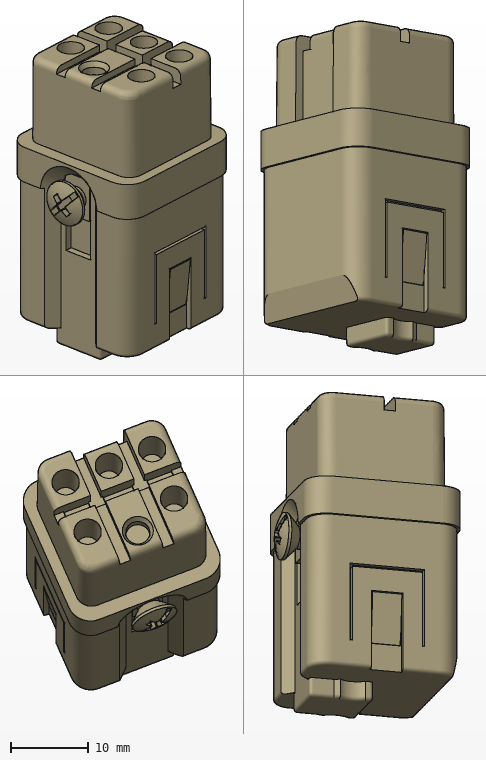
import cadquery as cq
import math

total_height = 40.2
body_bottom = 2.55
collar_bottom = 22.95
collar_top = 28.0

collar_width = 21.0
collar_radius = 3.0
body_width = 20.22
body_radius = 2.75
body_edge_fillet = 0.52
head_width = 18.0
head_front_y = -8.55
head_back_y = 8.65
head_radius = 2.1
head_edge_fillet = 0.95
head_draft = 0.12

slot_outer_x = 3.78
slot_inner_x = 2.3
front_slot_depth = 0.95
rear_slot_depth = 2.05
cross_slot_front = -0.05
cross_slot_back = 1.45
rear_recess_y = 7.4
pit_depth = 0.4
outer_pit_width = 3.45
centre_pit_width = 4.1
outer_pit_x = 5.83

contact_x = 6.07
rear_contact_y = 4.4
front_contact_y = -3.1
contact_mouth_radius = 1.75
contact_floor_radius = 1.53
contact_depth = 5.63
earth_y = -5.45
earth_mouth_radius = 2.0
earth_radius = 1.55
earth_countersink_depth = 0.7
earth_depth = 1.75

screw_z = 22.67
channel_floor_y = -8.6
channel_floor_half = 2.97
pocket_width = 4.2
pocket_depth = 1.0
pocket_bottom = 14.15
plate_bottom = 19.8
plate_top = 25.73
plate_height = 0.2

screw_tip_y = -12.05
screw_rim_front_y = -11.25
screw_rim_back_y = -10.85
screw_radius = 3.1
screw_shank_radius = 1.53
drive_angle = 45
drive_length = 3.15
drive_width = 0.9
drive_core = 1.13
drive_depth = 0.95
driver_slot_width = 0.8
driver_slot_depth = 0.72

latch_bottom = 6.1
latch_top = 16.52
latch_width = 10.05
latch_side_gap = 0.3
latch_top_gap = 0.4
latch_depth = 0.8
window_width = 4.25
window_top = 13.05
window_gap = 0.15
wedge_lower_height = 0.12

bevel_top = 6.1
bevel_inset = 1.05

foot_half_width = 4.22
foot_front_half_width = 3.9
foot_back_y = -0.15
foot_corner = 0.4
foot_edge_fillet = 0.5
foot_step_front_y = -5.4
foot_step_back_y = -4.6
scallop_back_y = -1.25
scallop_depth = 0.6


def block(x_min, x_max, y_min, y_max, z_min, z_max):
    """Axis-aligned box given by its limits."""
    size = (x_max - x_min, y_max - y_min, z_max - z_min)
    return cq.Workplane("XY").box(*size, centered=False).translate((x_min, y_min, z_min))


def revolve_about_y(profile):
    """Revolve a closed (radius, y) outline about the screw axis."""
    turned = cq.Workplane("XY").polyline(profile).close().revolve(360, (0, 0), (0, 1))
    return turned.translate((0, 0, screw_z))


def make_collar():
    height = collar_top - collar_bottom
    plate = cq.Workplane("XY", origin=(0, 0, collar_bottom)).rect(collar_width, collar_width)
    return plate.extrude(height).edges("|Z").fillet(collar_radius)


def make_body():
    body = cq.Workplane("XY", origin=(0, 0, body_bottom)).rect(body_width, body_width)
    body = body.extrude(collar_bottom - body_bottom).edges("|Z").fillet(body_radius)
    body = body.faces("<Z").edges().fillet(body_edge_fillet)
    back = body_width / 2
    bevel = (
        cq.Workplane("YZ")
        .polyline([(back, bevel_top), (back - bevel_inset, body_bottom), (back, body_bottom)])
        .close()
        .extrude(body_width / 2, both=True)
    )
    return body.cut(bevel)


def tapered_hole(x, y, mouth_radius, floor_radius, depth):
    floor = cq.Workplane("XY", origin=(x, y, total_height - depth)).circle(floor_radius)
    return floor.workplane(offset=depth).circle(mouth_radius).loft()


def head_outline(inset):
    """Rounded outline of the head; the front side stays in place as the others move in."""
    back_y = head_back_y - inset
    outline = cq.Sketch().rect(head_width - 2 * inset, back_y - head_front_y)
    outline = outline.vertices().fillet(head_radius - inset)
    return outline.moved(cq.Location(cq.Vector(0, (back_y + head_front_y) / 2, 0)))


def make_head():
    height = total_height - collar_top
    outlines = [head_outline(0), head_outline(head_draft).moved(cq.Location(cq.Vector(0, 0, height)))]
    head = cq.Workplane("XY", origin=(0, 0, collar_top)).placeSketch(*outlines).loft()
    head = head.faces(">Z").edges().fillet(head_edge_fillet)

    recess = block(-slot_outer_x, slot_outer_x, 0, head_back_y, collar_top, total_height)
    column = block(-slot_outer_x, slot_outer_x, 0, rear_recess_y, collar_top, total_height)
    column = column.edges(">Y and >Z").fillet(head_edge_fillet)
    return head.cut(recess.cut(column))


def cut_contact_face(part):
    rear_floor = total_height - rear_slot_depth
    front_floor = total_height - front_slot_depth
    reach = head_width / 2
    for x_min in (-slot_outer_x, slot_inner_x):
        x_max = x_min + slot_outer_x - slot_inner_x
        part = part.cut(block(x_min, x_max, -reach, cross_slot_front, front_floor, total_height))
        part = part.cut(block(x_min, x_max, cross_slot_front, reach, rear_floor, total_height))
    part = part.cut(block(-reach, reach, cross_slot_front, cross_slot_back, rear_floor, total_height))

    pits = ((-outer_pit_x, outer_pit_width), (0, centre_pit_width), (outer_pit_x, outer_pit_width))
    for x, width in pits:
        left = x - width / 2
        pit_floor = rear_floor - pit_depth
        pit = block(left, left + width, cross_slot_front, cross_slot_back, pit_floor, rear_floor)
        part = part.cut(pit)

    contacts = [(x, rear_contact_y) for x in (-contact_x, 0, contact_x)]
    contacts += [(x, front_contact_y) for x in (-contact_x, contact_x)]
    for x, y in contacts:
        part = part.cut(tapered_hole(x, y, contact_mouth_radius, contact_floor_radius, contact_depth))

    part = part.cut(tapered_hole(0, earth_y, earth_mouth_radius, earth_radius, earth_countersink_depth))
    return part.cut(tapered_hole(0, earth_y, earth_radius, earth_radius, earth_depth))


def cut_channel(part):
    front_y = -collar_width / 2
    front_half = channel_floor_half + channel_floor_y - front_y
    channel = (
        cq.Workplane("XY")
        .polyline(
            [
                (-channel_floor_half, channel_floor_y),
                (channel_floor_half, channel_floor_y),
                (front_half, front_y),
                (-front_half, front_y),
            ]
        )
        .close()
        .extrude(screw_z)
    )
    seat = revolve_about_y(
        [(0, channel_floor_y), (channel_floor_half, channel_floor_y), (front_half, front_y), (0, front_y)]
    )
    half = pocket_width / 2
    pocket = block(-half, half, channel_floor_y, channel_floor_y + pocket_depth, pocket_bottom, plate_bottom)
    plate = block(-half, half, channel_floor_y - plate_height, channel_floor_y, plate_bottom, plate_top)
    return part.cut(channel).cut(seat).cut(pocket).union(plate)


def make_screw():
    shoulder_y = screw_rim_back_y + screw_radius - screw_shank_radius
    dome_rise = screw_rim_front_y - screw_tip_y
    dome_radius = (screw_radius**2 + dome_rise**2) / (2 * dome_rise)
    half_angle = math.asin(screw_radius / dome_radius) / 2
    dome_middle = (
        dome_radius * math.sin(half_angle),
        screw_tip_y + dome_radius * (1 - math.cos(half_angle)),
    )
    screw = (
        cq.Workplane("XY")
        .moveTo(0, channel_floor_y)
        .lineTo(screw_shank_radius, channel_floor_y)
        .lineTo(screw_shank_radius, shoulder_y)
        .lineTo(screw_radius, screw_rim_back_y)
        .lineTo(screw_radius, screw_rim_front_y)
        .threePointArc(dome_middle, (0, screw_tip_y))
        .close()
        .revolve(360, (0, 0), (0, 1))
        .translate((0, 0, screw_z))
    )

    cuts = (
        (drive_length, drive_width, drive_depth),
        (drive_width, drive_length, drive_depth),
        (drive_core, drive_core, drive_depth),
        (2 * screw_radius, driver_slot_width, driver_slot_depth),
    )
    for length, width, depth in cuts:
        cutter = cq.Workplane("XZ", origin=(0, screw_tip_y, screw_z)).rect(length, width).extrude(-depth)
        cutter = cutter.rotate((0, 0, screw_z), (0, 1, screw_z), -drive_angle)
        screw = screw.cut(cutter)
    return screw


def cut_latch(part):
    """Cut one latch outline and its window into the -X wall."""
    face_x = -body_width / 2
    floor_x = face_x + latch_depth
    half = latch_width / 2
    inner = half - latch_side_gap
    groove = block(face_x, floor_x, -half, half, latch_bottom, latch_top)
    tongue = block(face_x, floor_x, -inner, inner, latch_bottom, latch_top - latch_top_gap)
    window = block(face_x, floor_x, -window_width / 2, window_width / 2, body_bottom, window_top)
    wedge = (
        cq.Workplane("XZ")
        .polyline(
            [
                (floor_x, latch_bottom),
                (floor_x - wedge_lower_height, latch_bottom),
                (face_x, window_top - window_gap),
                (floor_x, window_top - window_gap),
            ]
        )
        .close()
        .extrude(window_width / 2 - window_gap, both=True)
    )
    return part.cut(groove.cut(tongue)).cut(window).union(wedge)


def make_foot():
    front_y = channel_floor_y
    scallop_middle_y = (scallop_back_y + foot_step_back_y) / 2
    foot = (
        cq.Workplane("XY")
        .moveTo(0, front_y)
        .lineTo(foot_front_half_width, front_y)
        .lineTo(foot_front_half_width, foot_step_front_y)
        .lineTo(foot_half_width, foot_step_back_y)
        .threePointArc(
            (foot_half_width - scallop_depth, scallop_middle_y),
            (foot_half_width, scallop_back_y),
        )
        .lineTo(foot_half_width, foot_back_y)
        .lineTo(0, foot_back_y)
        .mirrorY()
        .extrude(body_bottom)
    )
    foot = foot.edges("|Z and (<Y or >Y)").fillet(foot_corner)
    return foot.faces("<Z").edges().fillet(foot_edge_fillet)


result = make_body().union(make_collar()).union(make_head())
result = cut_contact_face(result)
result = cut_channel(result)

result = cut_latch(result)
result = cut_latch(result.mirror("YZ"))

result = result.union(make_screw())
result = result.union(make_foot())